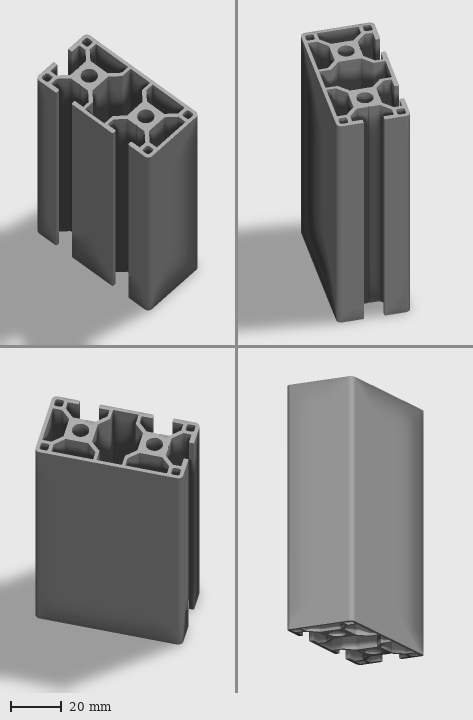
import cadquery as cq

module = 30.0
width = 2 * module
depth = module
length = 100.0
corner_radius = 2.0

skin = 1.5
lip = 2.0
lip_radius = 0.5
web = 1.3

core_half = 5.8
core_flat_half = 4.6
bore_diameter = 6.8
groove_half = 0.5
groove_depth = 0.4

side_slot_width = 8.0
end_slot_width = 8.5
pocket_half = 8.5
corner_cell = 3.5
corner_cell_radius = 0.9

half_module = module / 2
skin_face = half_module - skin
lip_face = half_module - lip
strut_run = pocket_half - core_flat_half
pocket_shoulder = core_half + strut_run
cavity_half = half_module - pocket_half - web
cavity_shoulder = half_module - cavity_half
cavity_shoulder_y = core_flat_half + cavity_shoulder - core_half
core_centers = (-half_module, half_module)


def prism(points):
    """Extrude a closed XY outline over the full length."""
    return cq.Workplane("XY").polyline(points).close().extrude(length)


def box_prism(center_x, center_y, size_x, size_y):
    """Full-length rectangular bar."""
    return cq.Workplane("XY").center(center_x, center_y).rect(size_x, size_y).extrude(length)


def place(cutter, angle, center_x):
    """Turn a cutter facing +Y about the core axis and move it onto a module."""
    return cutter.rotate((0, 0, 0), (0, 0, 1), angle).translate((center_x, 0, 0))


def pocket(outer_face):
    """T-pocket on the +Y side of a core, ending at the given outer face."""
    return prism([
        (-core_flat_half, core_half),
        (-pocket_half, pocket_shoulder),
        (-pocket_half, outer_face),
        (pocket_half, outer_face),
        (pocket_half, pocket_shoulder),
        (core_flat_half, core_half),
    ])


def open_slot(width_at_lips):
    """T-pocket with its mouth through the lips and a V-groove in the core face."""
    mouth = box_prism(0, half_module - lip / 2, width_at_lips, lip)
    groove = prism([
        (-groove_half, core_half),
        (0, core_half - groove_depth),
        (groove_half, core_half),
    ])
    return pocket(lip_face).union(mouth).union(groove)


def lip_rounding(tip_x, outward, face, inward):
    """Corner square of a lip edge, less the quarter round that stays."""
    step_x = outward * lip_radius
    step_y = inward * lip_radius
    corner = box_prism(tip_x + step_x / 2, face + step_y / 2, lip_radius, lip_radius)
    round_center = cq.Workplane("XY").center(tip_x + step_x, face + step_y)
    round_edge = round_center.circle(lip_radius).extrude(length)
    return corner.cut(round_edge)


def rounded_open_slot(width_at_lips):
    """Open slot whose lip tips have rounded edges."""
    slot = open_slot(width_at_lips)
    for side in (-1, 1):
        for face, inward in ((half_module, -1), (lip_face, 1)):
            slot = slot.union(lip_rounding(side * width_at_lips / 2, side, face, inward))
    return slot


def middle_cavity():
    """Closed cavity between the two cores."""
    core_face_x = half_module - core_half
    quarter = [
        (core_face_x, core_flat_half),
        (cavity_half, cavity_shoulder_y),
        (cavity_half, skin_face),
    ]
    upper = quarter + [(-x, y) for x, y in reversed(quarter)]
    lower = [(-x, -y) for x, y in upper]
    return prism(upper + lower)


def corner_cells():
    """Small rounded square cells in the four outer corners."""
    inset = skin + corner_cell / 2
    spacing_x = width - 2 * inset
    spacing_y = depth - 2 * inset
    cells = cq.Workplane("XY").rect(spacing_x, spacing_y, forConstruction=True).vertices()
    return cells.rect(corner_cell, corner_cell).extrude(length).edges("|Z").fillet(corner_cell_radius)


body = box_prism(0, 0, width, depth).edges("|Z").fillet(corner_radius)

for center_x in core_centers:
    body = body.cut(place(pocket(skin_face), 0, center_x))
    body = body.cut(place(rounded_open_slot(side_slot_width), 180, center_x))

body = body.cut(place(open_slot(end_slot_width), 90, -half_module))
body = body.cut(place(pocket(skin_face), -90, half_module))

body = body.cut(middle_cavity()).cut(corner_cells())

bore_points = [(center_x, 0) for center_x in core_centers]
bores = cq.Workplane("XY").pushPoints(bore_points).circle(bore_diameter / 2).extrude(length)
result = body.cut(bores)